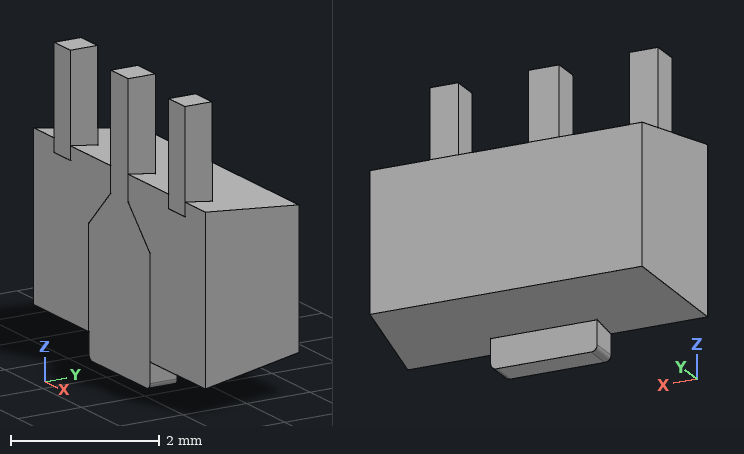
import cadquery as cq

housing_width = 4.5
housing_height = 2.5
housing_depth = 1.6
taper_inset = 0.205

metal_thickness = 0.43
lead_rise = 1.35
lead_pitch = 1.5
outer_lead_width = 0.43
outer_lead_embed = 0.205
center_lead_width = 0.465
tab_width = 1.6
tab_drop = 0.395
center_lead_length = 1.745
tab_corner_radius = 0.09

housing_top = housing_height / 2
lead_top = housing_top + lead_rise
tab_bottom = -housing_top - tab_drop


def extrude_metal(profile):
    """Extrude an XZ profile from the large face into the housing (+Y)."""
    return profile.extrude(-metal_thickness)


def make_outer_lead(center_x):
    length = lead_rise + outer_lead_embed
    profile = cq.Workplane("XZ").center(center_x, lead_top - length / 2).rect(outer_lead_width, length)
    return extrude_metal(profile)


def make_center_tab():
    """Wide tab that narrows through 45 degree shoulders into the centre lead."""
    half_lead = center_lead_width / 2
    half_tab = tab_width / 2
    neck_z = lead_top - center_lead_length
    shoulder_z = neck_z - (half_tab - half_lead)
    profile = cq.Workplane("XZ").polyline([
        (-half_lead, lead_top),
        (half_lead, lead_top),
        (half_lead, neck_z),
        (half_tab, shoulder_z),
        (half_tab, tab_bottom),
        (-half_tab, tab_bottom),
        (-half_tab, shoulder_z),
        (-half_lead, neck_z),
    ]).close()
    return extrude_metal(profile).faces("<Z").edges("|Y").fillet(tab_corner_radius)


def make_housing(inserts):
    """Tapered block with a matching recess for each metal insert."""
    block = (
        cq.Workplane("XZ")
        .rect(housing_width, housing_height)
        .workplane(offset=-housing_depth)
        .rect(housing_width - 2 * taper_inset, housing_height - 2 * taper_inset)
        .loft(ruled=True)
    )
    for insert in inserts:
        block = block.cut(insert)
    return block


center_tab = make_center_tab()
outer_leads = [make_outer_lead(side * lead_pitch) for side in (-1, 1)]
housing = make_housing([center_tab, *outer_leads])

result = cq.Compound.makeCompound([
    housing.val(),
    center_tab.val(),
    *[lead.val() for lead in outer_leads],
])